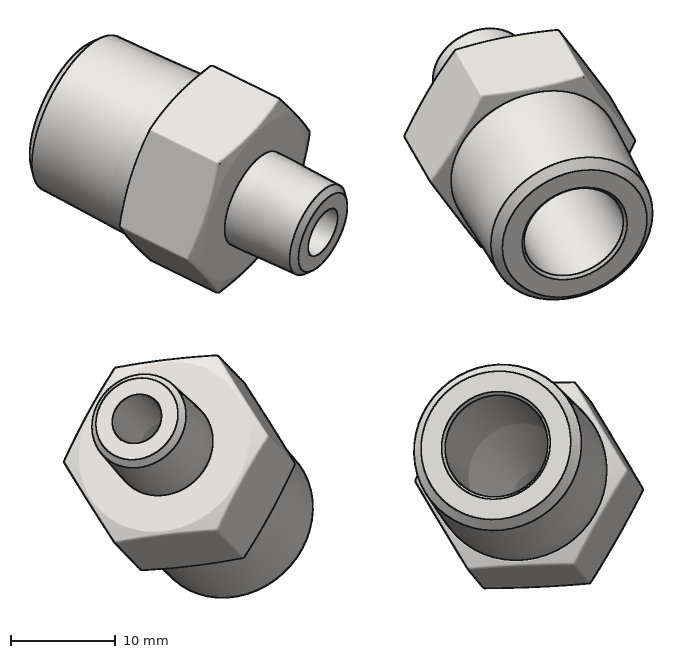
import cadquery as cq
import math

length = 29.0
large_taper_end = 10.1
hex_start = 11.95
hex_end = 21.0
small_taper_start = 22.5

large_diameter = 16.9
large_tip_diameter = 16.33
large_chamfer = 0.87

small_diameter = 9.9
small_tip_diameter = 9.5
small_chamfer = 0.6

across_flats = 18.0
collar_face_diameter = 17.23
collar_chamfer_angle = 17.0
collar_edge_radius = 0.3

bore_diameter = 10.0
bore_mouth_chamfer = 0.3
through_diameter = 5.0


def revolve_about_x(points):
    """Revolve a closed outline of (x, radius) points about the X axis."""
    return cq.Workplane("XZ").polyline(points).close().revolve(360, (0, 0, 0), (1, 0, 0))


def make_spigots():
    """Both tapered ends as one turned body, joined inside the collar."""
    large_radius = large_diameter / 2
    large_tip_radius = large_tip_diameter / 2
    small_radius = small_diameter / 2
    small_tip_radius = small_tip_diameter / 2
    collar_middle = (hex_start + hex_end) / 2
    return revolve_about_x([
        (0, 0),
        (0, large_tip_radius - large_chamfer),
        (large_chamfer, large_tip_radius),
        (large_taper_end, large_radius),
        (collar_middle, large_radius),
        (collar_middle, small_radius),
        (small_taper_start, small_radius),
        (length - small_chamfer, small_tip_radius),
        (length, small_tip_radius - small_chamfer),
        (length, 0),
    ])


def make_collar():
    """Hexagon with corners on +Y and -Y, coned at both ends, all outer edges rounded."""
    corner_radius = across_flats / math.sqrt(3)
    face_radius = collar_face_diameter / 2
    cone_length = (corner_radius - face_radius) * math.tan(math.radians(collar_chamfer_angle))
    hexagon = (
        cq.Workplane("YZ", origin=(hex_start, 0, 0))
        .polygon(6, 2 * corner_radius)
        .extrude(hex_end - hex_start)
    )
    envelope = revolve_about_x([
        (hex_start, 0),
        (hex_start, face_radius),
        (hex_start + cone_length, corner_radius),
        (hex_end - cone_length, corner_radius),
        (hex_end, face_radius),
        (hex_end, 0),
    ])
    return hexagon.intersect(envelope).edges("not %CIRCLE").fillet(collar_edge_radius)


def make_bore():
    """Deep bore with a chamfered mouth, tapering along the collar to the through hole."""
    bore_radius = bore_diameter / 2
    through_radius = through_diameter / 2
    return revolve_about_x([
        (0, 0),
        (0, bore_radius + bore_mouth_chamfer),
        (bore_mouth_chamfer, bore_radius),
        (hex_start, bore_radius),
        (hex_end, through_radius),
        (length, through_radius),
        (length, 0),
    ])


result = make_spigots().union(make_collar()).cut(make_bore())